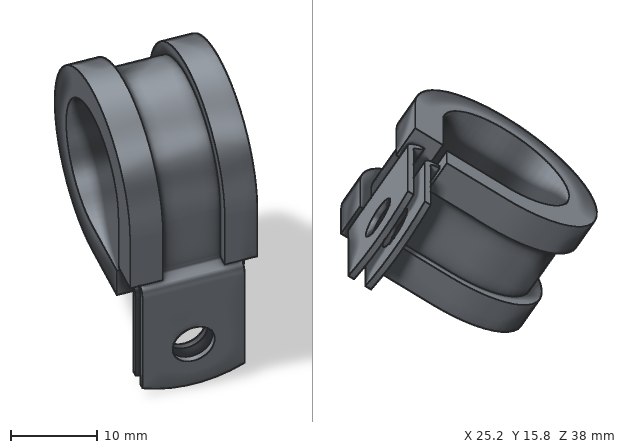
import cadquery as cq
import math

diagonal = math.sqrt(0.5)

cushion_radius = 12.6
cushion_thickness = 3.85
cushion_width = 15.75
down_leg_length = 7.7
side_leg_length = 8.2
groove_depth = 1.55
groove_width = 7.65

strap_thickness = 0.8
strap_width = 12.63
strap_radius = cushion_radius - groove_depth
bend_inner_radius = 0.85
bend_outer_radius = bend_inner_radius + strap_thickness
bend_radius = bend_inner_radius + strap_thickness / 2

tab_tip_z = -25.35
tab_tip_bulge = 1.33
inner_tab_outer_x = 10.25
jog_end_z = -9.95
jog_angle = math.radians(45)
hole_diameter = 5.2
hole_z = -19.05


def extrude_centred(profile, width):
    """Extrude an XZ profile symmetrically about Y = 0."""
    return profile.extrude(width / 2, both=True)


def loop_band(radius, thickness, width):
    """Band around three quarters of a circle, with both straight legs."""
    inner = radius - thickness
    profile = (
        cq.Workplane("XZ")
        .moveTo(radius, -down_leg_length)
        .lineTo(radius, 0)
        .threePointArc((-radius * diagonal, radius * diagonal), (0, -radius))
        .lineTo(side_leg_length, -radius)
        .lineTo(side_leg_length, -inner)
        .lineTo(0, -inner)
        .threePointArc((-inner * diagonal, inner * diagonal), (inner, 0))
        .lineTo(inner, -down_leg_length)
        .close()
    )
    return extrude_centred(profile, width)


def inner_tab():
    """Strap end that leaves the side leg and bends downward."""
    bend_x = inner_tab_outer_x - bend_outer_radius
    bend_z = -strap_radius - bend_inner_radius
    profile = (
        cq.Workplane("XZ")
        .moveTo(side_leg_length, -strap_radius)
        .lineTo(side_leg_length, -strap_radius + strap_thickness)
        .lineTo(bend_x, -strap_radius + strap_thickness)
        .threePointArc(
            (bend_x + bend_outer_radius * diagonal, bend_z + bend_outer_radius * diagonal),
            (inner_tab_outer_x, bend_z),
        )
        .lineTo(inner_tab_outer_x, tab_tip_z)
        .lineTo(inner_tab_outer_x - strap_thickness, tab_tip_z)
        .lineTo(inner_tab_outer_x - strap_thickness, bend_z)
        .threePointArc(
            (bend_x + bend_inner_radius * diagonal, bend_z + bend_inner_radius * diagonal),
            (bend_x, -strap_radius),
        )
        .close()
    )
    return extrude_centred(profile, strap_width)


def outer_tab():
    """Strap end that leaves the down leg and jogs out to the cushion's outer face."""
    jog_height = (
        2 * bend_radius * math.sin(jog_angle)
        + (groove_depth - 2 * bend_radius * (1 - math.cos(jog_angle))) / math.tan(jog_angle)
    )
    jog_start_z = jog_end_z + jog_height
    start_centre_x = strap_radius - strap_thickness + bend_outer_radius
    end_centre_x = cushion_radius - bend_outer_radius

    def start_bend(radius, angle):
        return (start_centre_x - radius * math.cos(angle), jog_start_z - radius * math.sin(angle))

    def end_bend(radius, angle):
        return (end_centre_x + radius * math.cos(angle), jog_end_z + radius * math.sin(angle))

    profile = (
        cq.Workplane("XZ")
        .moveTo(*start_bend(bend_inner_radius, 0))
        .threePointArc(start_bend(bend_inner_radius, jog_angle / 2), start_bend(bend_inner_radius, jog_angle))
        .lineTo(*end_bend(bend_outer_radius, jog_angle))
        .threePointArc(end_bend(bend_outer_radius, jog_angle / 2), end_bend(bend_outer_radius, 0))
        .lineTo(cushion_radius, tab_tip_z)
        .lineTo(cushion_radius - strap_thickness, tab_tip_z)
        .lineTo(*end_bend(bend_inner_radius, 0))
        .threePointArc(end_bend(bend_inner_radius, jog_angle / 2), end_bend(bend_inner_radius, jog_angle))
        .lineTo(*start_bend(bend_outer_radius, jog_angle))
        .threePointArc(start_bend(bend_outer_radius, jog_angle / 2), start_bend(bend_outer_radius, 0))
        .close()
    )
    return extrude_centred(profile, strap_width)


def tab_outline():
    """Prism along X with the rounded tip shared by both tabs."""
    half_width = strap_width / 2
    shoulder_z = tab_tip_z + tab_tip_bulge
    return (
        cq.Workplane("YZ")
        .moveTo(-half_width, 0)
        .lineTo(-half_width, shoulder_z)
        .threePointArc((0, tab_tip_z), (half_width, shoulder_z))
        .lineTo(half_width, 0)
        .close()
        .extrude(cushion_radius)
    )


groove = loop_band(cushion_radius, groove_depth, groove_width)
cushion = loop_band(cushion_radius, cushion_thickness, cushion_width).cut(groove)

bolt_hole = (
    cq.Workplane("YZ")
    .center(0, hole_z)
    .circle(hole_diameter / 2)
    .extrude(cushion_radius)
)
tabs = inner_tab().union(outer_tab()).intersect(tab_outline()).cut(bolt_hole)

result = cushion.union(tabs)